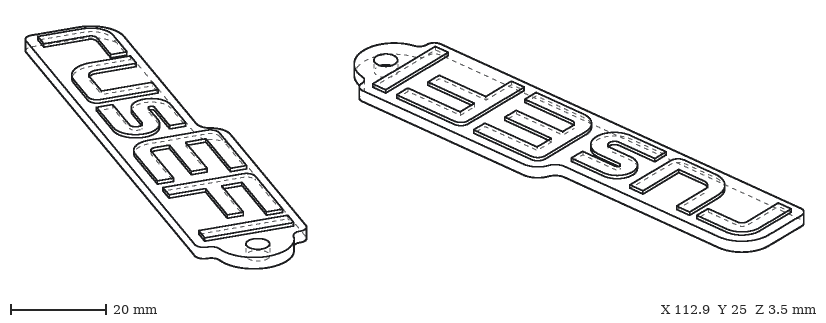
import cadquery as cq
import math

plate_thickness = 2.7
letter_height = 0.8
margin = 2.5
small_height = 15.0
tall_height = 20.0
stroke = 3.6
corner_radius = 2.0

baseline = margin
small_top = baseline + small_height
tall_top = baseline + tall_height
low_edge = small_top + margin
high_edge = tall_top + margin

r_left = margin
r_right = 15.7
u_left = 17.7
u_right = 34.3
s_left = 37.4
s_right = 52.4
s_top_right = 50.7
e_left = 55.4
f_left = 76.9
i_left = 98.1
arm_length = 18.2
middle_arm_length = 16.6

r_bend_radius = 5.0
u_bend_radius = 6.0
e_bend_radius = 5.0

total_length = 112.9
tab_radius = 8.5
tab_x = total_length - tab_radius
tab_y = high_edge / 2
hole_x = 106.8
hole_diameter = 5.0

step_outer_radius = corner_radius + margin
step_inner_radius = 3.0
step_left = e_left - margin


def round_corners(body, corners):
    """Fillet the vertical edges standing at the given (x, y, radius) corners."""
    for x, y, radius in corners:
        nearest = cq.selectors.NearestToPointSelector((x, y, body.val().BoundingBox().center.z))
        body = body.edges("|Z").edges(nearest).fillet(radius)
    return body


def letter_plane():
    return cq.Workplane("XY").workplane(offset=plate_thickness)


def make_letter(points, corners=()):
    """Raise a straight-sided letter on the plate, then round its corners."""
    body = letter_plane().polyline(points).close().extrude(letter_height)
    return round_corners(body, corners)


def make_plate():
    outer_x = step_left + step_outer_radius
    outer_y = high_edge - step_outer_radius
    inner_y = low_edge + step_inner_radius
    reach = step_outer_radius + step_inner_radius
    inner_x = outer_x - math.sqrt(reach**2 - (inner_y - outer_y) ** 2)
    share = step_inner_radius / reach
    meet = (inner_x + share * (outer_x - inner_x), inner_y + share * (outer_y - inner_y))

    body = (
        cq.Workplane("XY")
        .lineTo(tab_x, 0)
        .lineTo(tab_x, high_edge)
        .lineTo(outer_x, high_edge)
        .radiusArc(meet, -step_outer_radius)
        .radiusArc((inner_x, low_edge), step_inner_radius)
        .lineTo(0, low_edge)
        .close()
        .extrude(plate_thickness)
    )
    body = round_corners(body, [
        (0, 0, corner_radius),
        (tab_x, 0, corner_radius),
        (tab_x, high_edge, corner_radius),
        (0, low_edge, r_bend_radius + margin),
    ])

    tab = cq.Workplane("XY").center(tab_x, tab_y).circle(tab_radius).extrude(plate_thickness)
    body = round_corners(body.union(tab), [
        (tab_x, tab_y - tab_radius, corner_radius),
        (tab_x, tab_y + tab_radius, corner_radius),
    ])

    hole = cq.Workplane("XY").center(hole_x, tab_y).circle(hole_diameter / 2).extrude(plate_thickness)
    return body.cut(hole)


def make_letter_r():
    stem_right = r_left + stroke
    arm_bottom = small_top - stroke
    return make_letter(
        [
            (r_left, baseline),
            (stem_right, baseline),
            (stem_right, arm_bottom),
            (r_right, arm_bottom),
            (r_right, small_top),
            (r_left, small_top),
        ],
        [
            (r_left, small_top, r_bend_radius),
            (stem_right, arm_bottom, r_bend_radius - stroke),
        ],
    )


def make_letter_u():
    inner_left = u_left + stroke
    inner_right = u_right - stroke
    inner_bottom = baseline + stroke
    return make_letter(
        [
            (u_left, baseline),
            (u_right, baseline),
            (u_right, small_top),
            (inner_right, small_top),
            (inner_right, inner_bottom),
            (inner_left, inner_bottom),
            (inner_left, small_top),
            (u_left, small_top),
        ],
        [
            (u_left, baseline, u_bend_radius),
            (inner_left, inner_bottom, u_bend_radius - stroke),
            (u_right, baseline, corner_radius),
        ],
    )


def make_letter_s():
    upper_gap = 1.4
    lower_gap = small_height - 3 * stroke - upper_gap
    upper_radius = stroke + upper_gap / 2
    lower_radius = stroke + lower_gap / 2
    upper_x = s_left + upper_radius
    lower_x = s_right - lower_radius
    upper_y = small_top - upper_radius
    lower_y = baseline + lower_radius
    return (
        letter_plane()
        .moveTo(s_left, baseline)
        .lineTo(lower_x, baseline)
        .threePointArc((s_right, lower_y), (lower_x, lower_y + lower_radius))
        .lineTo(upper_x, upper_y - upper_gap / 2)
        .threePointArc((s_left + stroke, upper_y), (upper_x, upper_y + upper_gap / 2))
        .lineTo(s_top_right, small_top - stroke)
        .lineTo(s_top_right, small_top)
        .lineTo(upper_x, small_top)
        .threePointArc((s_left, upper_y), (upper_x, upper_y - upper_radius))
        .lineTo(lower_x, lower_y + lower_gap / 2)
        .threePointArc((s_right - stroke, lower_y), (lower_x, lower_y - lower_gap / 2))
        .lineTo(s_left, baseline + stroke)
        .close()
        .extrude(letter_height)
    )


def upper_arms(left):
    """Outline shared by E and F, from the underside of the middle arm to the top left corner."""
    stem_right = left + stroke
    middle_y = baseline + tall_height / 2
    return [
        (stem_right, middle_y - stroke / 2),
        (left + middle_arm_length, middle_y - stroke / 2),
        (left + middle_arm_length, middle_y + stroke / 2),
        (stem_right, middle_y + stroke / 2),
        (stem_right, tall_top - stroke),
        (left + arm_length, tall_top - stroke),
        (left + arm_length, tall_top),
        (left, tall_top),
    ]


def make_letter_e():
    stem_right = e_left + stroke
    inner_bottom = baseline + stroke
    return make_letter(
        [
            (e_left, baseline),
            (e_left + arm_length, baseline),
            (e_left + arm_length, inner_bottom),
            (stem_right, inner_bottom),
            *upper_arms(e_left),
        ],
        [
            (e_left, baseline, e_bend_radius),
            (stem_right, inner_bottom, e_bend_radius - stroke),
            (e_left, tall_top, corner_radius),
        ],
    )


def make_letter_f():
    return make_letter(
        [
            (f_left, baseline),
            (f_left + stroke, baseline),
            *upper_arms(f_left),
        ],
        [(f_left, tall_top, corner_radius)],
    )


def make_letter_i():
    return make_letter([
        (i_left, baseline),
        (i_left + stroke, baseline),
        (i_left + stroke, tall_top),
        (i_left, tall_top),
    ])


plate = make_plate()
letters = [
    make_letter_r(),
    make_letter_u(),
    make_letter_s(),
    make_letter_e(),
    make_letter_f(),
    make_letter_i(),
]

result = cq.Compound.makeCompound([plate.val(), *[letter.val() for letter in letters]])